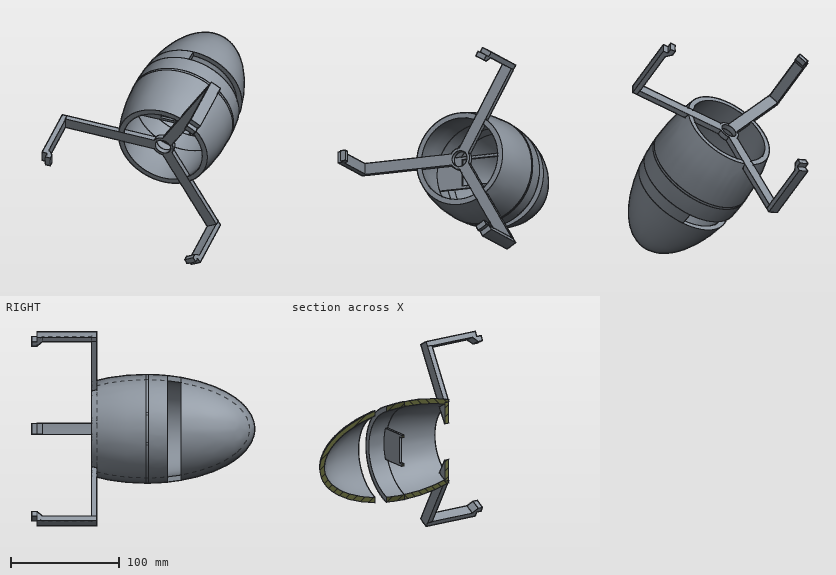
import cadquery as cq

TOTAL_LENGTH = 205

EGG_RADIUS = 50.0
EGG_HALF_LENGTH = 2 * EGG_RADIUS
WALL = 5.0
EGG_CENTER_Y = 50.0
TIP_Y = EGG_CENTER_Y + EGG_HALF_LENGTH

LIP_THICKNESS = 2.5
LIP_BACK_Y = EGG_CENTER_Y + LIP_THICKNESS
SLOT_FRONT_Y = 70.0
SLOT_BACK_Y = 82.5
SLAB_SIZE = 2 * EGG_RADIUS + WALL

BAR_HALF_HEIGHT = 15.0
WINDOW_LENGTH = 40.2
WINDOW_HEIGHT = 25.0

ARM_COUNT = 3
ARM_WIDTH = 10.5
CLAW_THICKNESS = 5.0
HUB_RADIUS = 10.0
HUB_HOLE_DIAMETER = 15.0
CLAW_RADIUS = 100.0
ARM_OVERLAP = 0.2
LEG_SWEEP_ANGLE = 6
LEG_END_Y = -50.0
FOOT_END_Y = TIP_Y - TOTAL_LENGTH


def ellipsoid(radius, half_length):
    """Solid ellipsoid of revolution about the Y axis."""
    return (
        cq.Workplane("XY")
        .moveTo(0, -half_length)
        .ellipseArc(radius, half_length, -90, 90, startAtCurrent=True)
        .close()
        .revolve(360, (0, 0, 0), (0, 1, 0))
        .translate((0, EGG_CENTER_Y, 0))
    )


def slab(front_y, back_y, length=SLAB_SIZE, height=SLAB_SIZE):
    """Block centred on the Y axis between two Y positions."""
    return (
        cq.Workplane("XY")
        .box(length, back_y - front_y, height, centered=(True, False, True))
        .translate((0, front_y, 0))
    )


outer_egg = ellipsoid(EGG_RADIUS, EGG_HALF_LENGTH)
cavity = ellipsoid(EGG_RADIUS - WALL, EGG_HALF_LENGTH - WALL)
shell = outer_egg.cut(cavity)


def make_claw():
    """Hub and arms in one plate, with the legs swept around the Y axis."""
    hub = cq.Workplane("XZ").circle(HUB_RADIUS).extrude(-CLAW_THICKNESS)
    leg_inner = CLAW_RADIUS - CLAW_THICKNESS
    foot_inner = leg_inner - CLAW_THICKNESS
    arm_length = leg_inner + ARM_OVERLAP
    arm = cq.Workplane("XY").box(arm_length, CLAW_THICKNESS, ARM_WIDTH, centered=(False, False, True))
    leg = (
        cq.Workplane("XY")
        .polyline([
            (CLAW_RADIUS, CLAW_THICKNESS),
            (CLAW_RADIUS, LEG_END_Y),
            (leg_inner, LEG_END_Y),
            (leg_inner, FOOT_END_Y),
            (foot_inner, FOOT_END_Y),
            (foot_inner, LEG_END_Y),
            (leg_inner, LEG_END_Y + CLAW_THICKNESS),
            (leg_inner, CLAW_THICKNESS),
        ])
        .close()
        .revolve(LEG_SWEEP_ANGLE, (0, 0, 0), (0, 1, 0))
        .rotate((0, 0, 0), (0, 1, 0), -LEG_SWEEP_ANGLE / 2)
    )
    limb = arm.union(leg)
    claw = hub
    for index in range(ARM_COUNT):
        claw = claw.union(limb.rotate((0, 0, 0), (0, 1, 0), 180 + index * 360 / ARM_COUNT))
    hub_hole = cq.Workplane("XZ").circle(HUB_HOLE_DIAMETER / 2).extrude(-CLAW_THICKNESS)
    return claw.cut(hub_hole)


def make_front_shell(claw):
    """Open front half of the egg, notched where the claw arms pass through."""
    return shell.intersect(slab(0, EGG_CENTER_Y)).cut(claw)


def make_collar():
    """Ring with a straight lip at its widest end, crossed there by a windowed bar."""
    ring = shell.intersect(slab(EGG_CENTER_Y, SLOT_FRONT_Y))
    lip_disc = cq.Workplane("XZ").circle(EGG_RADIUS).extrude(-LIP_THICKNESS).translate((0, EGG_CENTER_Y, 0))
    bar = slab(EGG_CENTER_Y, LIP_BACK_Y, height=2 * BAR_HALF_HEIGHT).intersect(lip_disc)
    window = slab(EGG_CENTER_Y, LIP_BACK_Y, WINDOW_LENGTH, WINDOW_HEIGHT)
    lip = lip_disc.cut(cavity)
    return ring.union(lip).union(bar).cut(window)


def make_half_ring():
    """Half ring on the -X side, leaving a slot open on the +X side."""
    slot = slab(SLOT_FRONT_Y, SLOT_BACK_Y).translate((SLAB_SIZE / 2, 0, 0))
    return shell.intersect(slab(SLOT_FRONT_Y, SLOT_BACK_Y)).cut(slot)


def make_nose():
    """Closed rounded end of the egg."""
    return shell.intersect(slab(SLOT_BACK_Y, TIP_Y + WALL))


claw = make_claw()
front_shell = make_front_shell(claw)
collar = make_collar()
half_ring = make_half_ring()
nose = make_nose()

result = cq.Compound.makeCompound([
    claw.solids().val(),
    front_shell.solids().val(),
    collar.solids().val(),
    half_ring.solids().val(),
    nose.solids().val(),
])